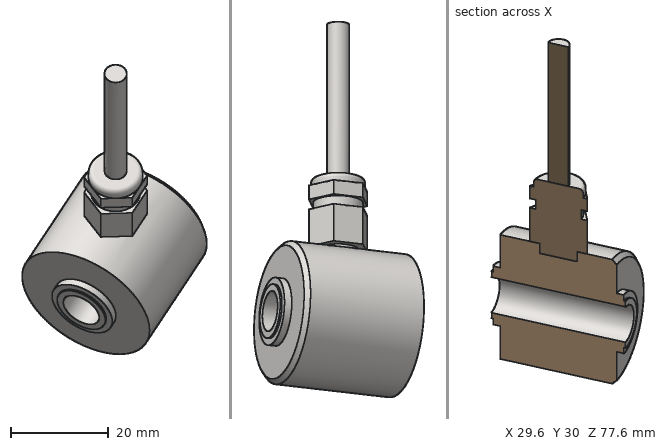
import cadquery as cq
import math

housing_dia = 29.6
housing_length = 26.1
rear_chamfer = 1.0
boss_dia = 14.0
boss_length = 29.25
lip_dia = 11.2
lip_length = 30.0
bore_dia = 8.3

stub_dia = 8.3
stub_depth = 2.3
hex_across_flats = 11.2
hex_across_corners = hex_across_flats / math.cos(math.radians(30))
lower_hex_height = 7.9
neck_dia = 10.25
neck_height = 2.1
upper_hex_height = 3.0
cap_dia = hex_across_flats
cap_height = 2.0
cap_fillet = 1.0

cable_dia = 4.6
overall_height = 77.6

housing_top = housing_dia / 2
stub_bottom = housing_top - stub_depth
neck_bottom = housing_top + lower_hex_height
upper_hex_bottom = neck_bottom + neck_height
cap_bottom = upper_hex_bottom + upper_hex_height
cap_top = cap_bottom + cap_height
cable_top = overall_height - housing_dia / 2


def cross_cylinder(diameter, length):
    """Cylinder along Y, centred on the origin."""
    return cq.Workplane("XZ").circle(diameter / 2).extrude(length / 2, both=True)


def upright_cylinder(diameter, bottom, top):
    """Cylinder on the Z axis between two levels."""
    return cq.Workplane("XY").workplane(offset=bottom).circle(diameter / 2).extrude(top - bottom)


def upright_hexagon(bottom, top):
    """Hexagonal prism on the Z axis, with corners pointing along +Y and -Y."""
    return (
        cq.Workplane("XY")
        .workplane(offset=bottom)
        .transformed(rotate=(0, 0, 90))
        .polygon(6, hex_across_corners)
        .extrude(top - bottom)
    )


def make_housing():
    """Bored round body with stepped bosses at both ends and a seat for the gland stub."""
    drum = cross_cylinder(housing_dia, housing_length).faces(">Y").chamfer(rear_chamfer)
    bosses = cross_cylinder(boss_dia, boss_length)
    lips = cross_cylinder(lip_dia, lip_length)
    bore = cross_cylinder(bore_dia, lip_length)
    gland_seat = upright_cylinder(stub_dia, stub_bottom, housing_top)
    return drum.union(bosses).union(lips).cut(bore).cut(gland_seat)


def make_gland():
    """Stub, lower hexagon, neck, upper hexagon and rounded cap in one piece."""
    stub = upright_cylinder(stub_dia, stub_bottom, housing_top)
    lower_hex = upright_hexagon(housing_top, neck_bottom)
    neck = upright_cylinder(neck_dia, neck_bottom, upper_hex_bottom)
    upper_hex = upright_hexagon(upper_hex_bottom, cap_bottom)
    cap = upright_cylinder(cap_dia, cap_bottom, cap_top).faces(">Z").edges().fillet(cap_fillet)
    return stub.union(lower_hex).union(neck).union(upper_hex).union(cap)


def make_cable():
    """Straight round cable rising from the top of the gland."""
    return upright_cylinder(cable_dia, cap_top, cable_top)


housing = make_housing()
gland = make_gland()
cable = make_cable()

result = cq.Compound.makeCompound([housing.solids().val(), gland.solids().val(), cable.val()])